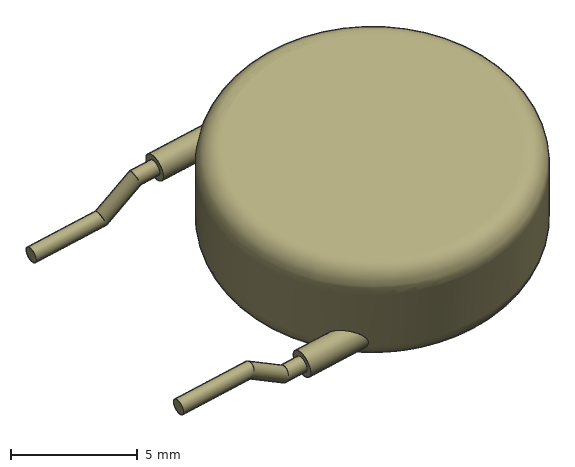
import cadquery as cq

DISC_DIAMETER = 14.0
DISC_HEIGHT = 5.0
DISC_EDGE_RADIUS = 1.0
DISC_FRONT_Y = -DISC_DIAMETER / 2

SLEEVE_DIAMETER = 1.2
SLEEVE_EDGE_GAP = 0.6
SLEEVE_LENGTH = DISC_DIAMETER / 2
SLEEVE_OFFSET_Z = DISC_HEIGHT / 2 - SLEEVE_EDGE_GAP - SLEEVE_DIAMETER / 2

LEAD_DIAMETER = 0.7
LEAD_SPACING = 10.0
LEAD_LENGTH = 6.0
FIRST_BEND = 0.95
SECOND_BEND = 2.6

LEAD_EXITS = [
    (-LEAD_SPACING / 2, SLEEVE_OFFSET_Z),
    (LEAD_SPACING / 2, -SLEEVE_OFFSET_Z),
]


def make_sleeve(x, z):
    """Solid round sleeve from inside the disc to the plane touching its front."""
    return (
        cq.Workplane("XZ")
        .center(x, z)
        .circle(SLEEVE_DIAMETER / 2)
        .extrude(SLEEVE_LENGTH)
    )


def make_housing():
    """Rounded disc with its two sleeves, as one solid."""
    housing = (
        cq.Workplane("XY", origin=(0, 0, -DISC_HEIGHT / 2))
        .circle(DISC_DIAMETER / 2)
        .extrude(DISC_HEIGHT)
        .faces("|Z")
        .edges()
        .fillet(DISC_EDGE_RADIUS)
    )
    for x, z in LEAD_EXITS:
        housing = housing.union(make_sleeve(x, z))
    return housing


def make_lead(x, z):
    """Round wire from the sleeve end, bent to mid-height, with mitred bends."""
    path = cq.Workplane("YZ", origin=(x, 0, 0)).polyline([
        (DISC_FRONT_Y, z),
        (DISC_FRONT_Y - FIRST_BEND, z),
        (DISC_FRONT_Y - SECOND_BEND, 0),
        (DISC_FRONT_Y - LEAD_LENGTH, 0),
    ])
    return (
        cq.Workplane("XZ", origin=(x, DISC_FRONT_Y, z))
        .circle(LEAD_DIAMETER / 2)
        .sweep(path, transition="right")
    )


housing = make_housing()
leads = [make_lead(x, z) for x, z in LEAD_EXITS]

result = cq.Compound.makeCompound([housing.solids().val(), *[lead.val() for lead in leads]])